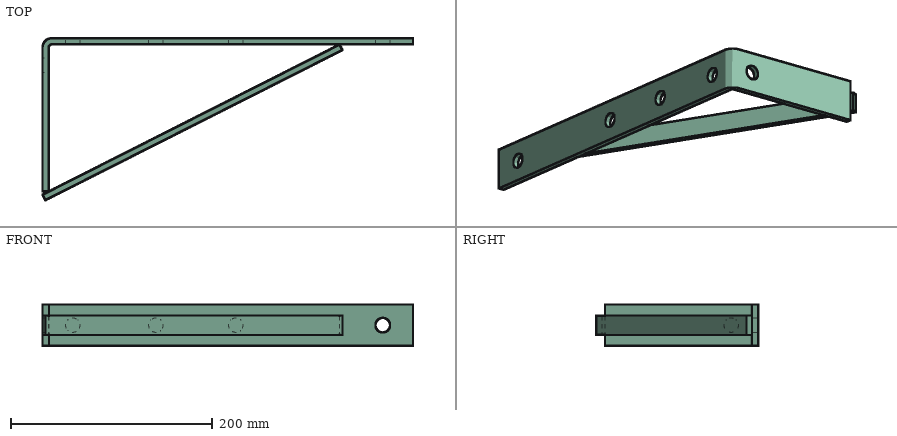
import math
import cadquery as cq

plate_length = 368.3
leg_length = 152.4
strap_width = 41.275
strap_thickness = 6.35
inner_bend_radius = 3.175
outer_bend_radius = inner_bend_radius + strap_thickness

hole_diameter = 14.2875
end_hole_margin = 30.1625
inner_hole_x = 112.7
inner_hole_spacing = 79.4
plate_hole_positions = [
    end_hole_margin,
    inner_hole_x,
    inner_hole_x + inner_hole_spacing,
    plate_length - end_hole_margin,
]
leg_hole_from_corner = 26.9875

overall_depth = 161.19
brace_width = 19.05
brace_thickness = 6.35
brace_tip_x = 295.3
weld_overlap = 0.05


def make_strap():
    outline = (
        cq.Workplane("XY")
        .moveTo(0, 0)
        .lineTo(plate_length, 0)
        .lineTo(plate_length, -strap_thickness)
        .lineTo(strap_thickness, -strap_thickness)
        .lineTo(strap_thickness, -leg_length)
        .lineTo(0, -leg_length)
        .close()
    )
    strap = outline.extrude(strap_width / 2, both=True)
    inner_corner = cq.selectors.NearestToPointSelector((strap_thickness, -strap_thickness, 0))
    outer_corner = cq.selectors.NearestToPointSelector((0, 0, 0))
    strap = strap.edges("|Z").edges(inner_corner).fillet(inner_bend_radius)
    return strap.edges("|Z").edges(outer_corner).fillet(outer_bend_radius)


def make_hole(center, direction):
    radius = hole_diameter / 2
    return cq.Workplane(cq.Solid.makeCylinder(radius, strap_thickness, center, direction))


def drill_holes(strap):
    for x in plate_hole_positions:
        strap = strap.cut(make_hole(cq.Vector(x, 0, 0), cq.Vector(0, -1, 0)))
    return strap.cut(make_hole(cq.Vector(0, -leg_hole_from_corner, 0), cq.Vector(1, 0, 0)))


def make_brace():
    tip_y = -strap_thickness + weld_overlap
    leg_contact_y = -leg_length + weld_overlap
    angle = math.atan2(tip_y - leg_contact_y, brace_tip_x - strap_thickness)
    rise = overall_depth + tip_y - brace_thickness * math.cos(angle)
    length = rise / math.sin(angle)
    bar = cq.Workplane("XY").box(length, brace_thickness, brace_width)
    bar = bar.translate((-length / 2, -brace_thickness / 2, 0))
    bar = bar.rotate((0, 0, 0), (0, 0, 1), math.degrees(angle))
    return bar.translate((brace_tip_x, tip_y, 0))


result = drill_holes(make_strap()).union(make_brace())